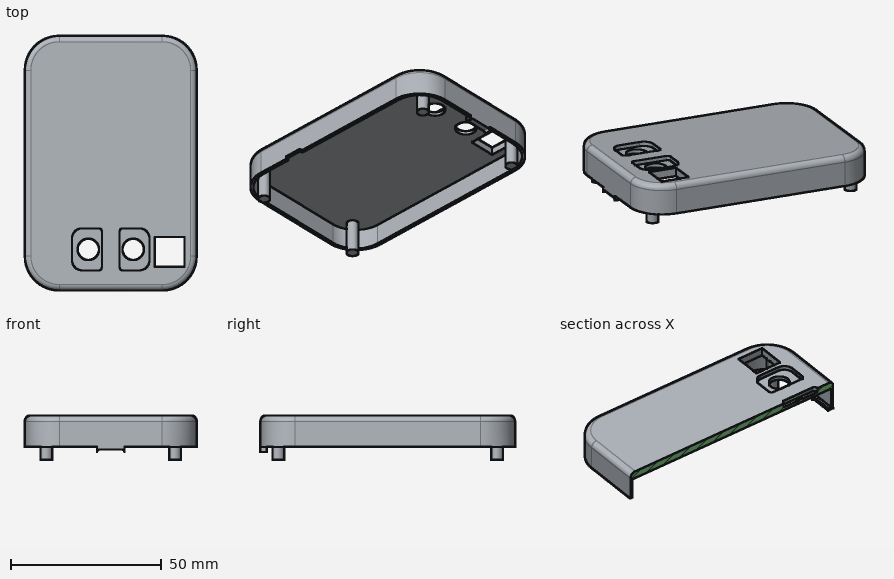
import cadquery as cq

width = 57.2
length = 84.7
height = 10.5
corner_radius = 11.5
edge_radius = 2.0
wall = 1.0
roof = 3.0

pin_diameter = 4.0
pin_drop = 4.3
pin_x = 21.35
pin_y = 36.3

recess_inner_x = 3.0
recess_outer_x = 12.9
recess_length = 14.0
recess_depth = 1.5
recess_outer_radius = 3.4
recess_inner_radius = 1.0
sensor_diameter = 7.0
sensor_x = 7.45
sensor_y = -28.6

window_size = 9.8
window_x = 19.6
window_y = -29.5

notch_width = 6.35
notch_height = 1.0
notch_y = 16.2

tab_width = 9.15
tab_thickness = 2.2
tab_web_drop = 0.85
tab_cove_radius = 1.8 / 2


def rounded_block(size_x, size_y, size_z, radius):
    block = cq.Workplane("XY").box(size_x, size_y, size_z, centered=(True, True, False))
    return block.edges("|Z").fillet(radius)


def make_shell():
    outside = rounded_block(width, length, height, corner_radius)
    outside = outside.faces(">Z").edges().fillet(edge_radius)
    cavity = rounded_block(width - 2 * wall, length - 2 * wall, height - roof, corner_radius - wall)
    return outside.cut(cavity)


def make_pins():
    pin_length = pin_drop + height - roof / 2
    pins = cq.Workplane("XY", origin=(0, 0, -pin_drop)).rect(2 * pin_x, 2 * pin_y, forConstruction=True)
    return pins.vertices().circle(pin_diameter / 2).extrude(pin_length)


def make_sensor_window(side):
    """Recess and hole on one side of the YZ plane; side is -1 or 1."""
    recess_x = side * (recess_inner_x + recess_outer_x) / 2
    recess_width = recess_outer_x - recess_inner_x
    recess = cq.Workplane("XY", origin=(recess_x, sensor_y, height - recess_depth))
    recess = recess.box(recess_width, recess_length, recess_depth, centered=(True, True, False))
    outer, inner = (">X", "<X") if side > 0 else ("<X", ">X")
    recess = recess.faces(outer).edges("|Z").fillet(recess_outer_radius)
    recess = recess.faces(inner).edges("|Z").fillet(recess_inner_radius)
    hole = cq.Workplane("XY").center(side * sensor_x, sensor_y).circle(sensor_diameter / 2).extrude(height)
    return recess.union(hole)


def make_square_window():
    return cq.Workplane("XY").center(window_x, window_y).rect(window_size, window_size).extrude(height)


def make_notch():
    return (
        cq.Workplane("XY", origin=(-width / 2, notch_y, 0))
        .box(2 * wall, notch_width, 2 * notch_height)
    )


def make_tab():
    half = tab_width / 2
    tip_z = -tab_web_drop - tab_cove_radius
    cove_x = half - tab_cove_radius
    cove_mid_x = half - tab_cove_radius * (1 - 0.5**0.5)
    cove_mid_z = tip_z + tab_cove_radius * 0.5**0.5
    return (
        cq.Workplane("XZ", origin=(0, -length / 2, 0))
        .moveTo(-half, 0)
        .lineTo(-half, tip_z)
        .threePointArc((-cove_mid_x, cove_mid_z), (-cove_x, -tab_web_drop))
        .lineTo(cove_x, -tab_web_drop)
        .threePointArc((cove_mid_x, cove_mid_z), (half, tip_z))
        .lineTo(half, 0)
        .close()
        .extrude(-tab_thickness)
    )


result = make_shell().union(make_pins())
for side in (-1, 1):
    result = result.cut(make_sensor_window(side))
result = result.cut(make_square_window())
result = result.cut(make_notch())
result = result.union(make_tab())